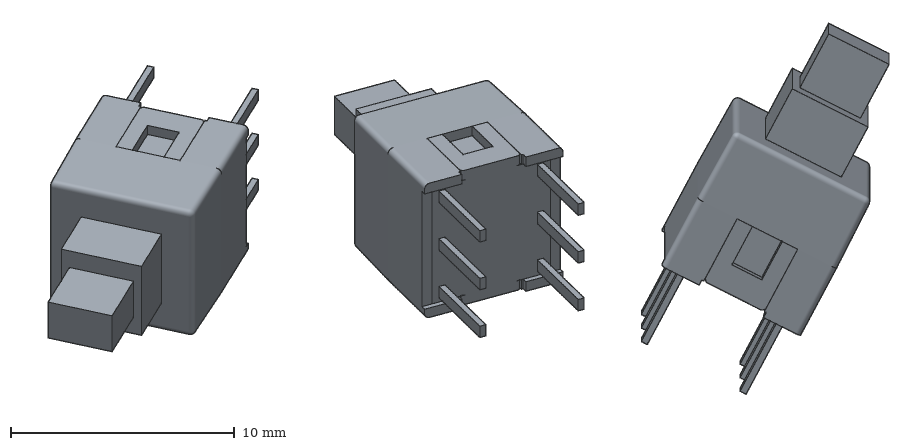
import cadquery as cq


OVERALL_LENGTH = 16.05

HOUSING_SIZE = 7.0
DRAFTED_LENGTH = HOUSING_SIZE / 2
DRAFT_ANGLE = 1.0
WALL = 0.5
EDGE_RADIUS = 0.25
FOOT_HEIGHT = 0.25
FOOT_GAP = 3.25
REAR_Y = HOUSING_SIZE - FOOT_HEIGHT
CAVITY_SIZE = HOUSING_SIZE - 2 * WALL

TONGUE_WIDTH = 3.05
TONGUE_CORNER_RADIUS = 0.21
POCKET_WIDTH = 1.51
POCKET_LENGTH = 1.99

COLLAR_SIZE = 3.82
COLLAR_LENGTH = 2.6
TIP_WIDTH = 3.05
TIP_HEIGHT = 1.99
TIP_LENGTH = 2.8

PIN_WIDTH = 0.3
PIN_HEIGHT = 0.6
PIN_PITCH = 2.49
PIN_LENGTH = OVERALL_LENGTH - TIP_LENGTH - COLLAR_LENGTH - REAR_Y
PIN_COLUMNS = (-PIN_PITCH, PIN_PITCH)
PIN_ROWS = (-PIN_PITCH, 0, PIN_PITCH)


def block(width, height, front_y, rear_y, x=0, z=0):
    """Box centred on (x, z) that runs from front_y to rear_y."""
    length = rear_y - front_y
    return cq.Workplane("XY").box(width, length, height).translate((x, front_y + length / 2, z))


def make_housing_blank():
    """Solid outer shape: straight rear half, drafted front half, rounded edges except around the rear face."""
    rear_part = block(HOUSING_SIZE, HOUSING_SIZE, DRAFTED_LENGTH, HOUSING_SIZE)
    front_part = (
        cq.Workplane("XZ", origin=(0, DRAFTED_LENGTH, 0))
        .rect(HOUSING_SIZE, HOUSING_SIZE)
        .extrude(DRAFTED_LENGTH, taper=DRAFT_ANGLE)
    )
    rear_part = rear_part.edges("|Y").fillet(EDGE_RADIUS)
    front_part = front_part.faces("not >Y").edges("not >Y").fillet(EDGE_RADIUS)
    return rear_part.union(front_part)


def make_housing():
    """Open-backed shell with a tongue slot in the top and bottom walls and a foot at each rear corner."""
    blank = make_housing_blank()
    cavity = block(CAVITY_SIZE, CAVITY_SIZE, WALL, HOUSING_SIZE)
    tongue_slots = block(TONGUE_WIDTH, HOUSING_SIZE, DRAFTED_LENGTH, HOUSING_SIZE)
    foot_gaps = block(FOOT_GAP, HOUSING_SIZE, REAR_Y, HOUSING_SIZE)
    side_trim = block(HOUSING_SIZE, CAVITY_SIZE, REAR_Y, HOUSING_SIZE)
    return blank.cut(cavity).cut(tongue_slots).cut(foot_gaps).cut(side_trim)


def make_base():
    """Core that fills the housing cavity, with a pocketed tongue in each of the two slots."""
    core = block(CAVITY_SIZE, CAVITY_SIZE, WALL, REAR_Y)
    tongues = block(TONGUE_WIDTH, HOUSING_SIZE, DRAFTED_LENGTH, REAR_Y)
    tongues = tongues.edges("|Z and >Y").fillet(TONGUE_CORNER_RADIUS)
    pockets = block(POCKET_WIDTH, HOUSING_SIZE, DRAFTED_LENGTH, DRAFTED_LENGTH + POCKET_LENGTH)
    return tongues.cut(pockets).union(core)


def make_plunger():
    """Square collar on the housing front face with a smaller rectangular tip."""
    collar = block(COLLAR_SIZE, COLLAR_SIZE, -COLLAR_LENGTH, 0)
    tip = block(TIP_WIDTH, TIP_HEIGHT, -COLLAR_LENGTH - TIP_LENGTH, -COLLAR_LENGTH)
    return collar.union(tip)


def make_pin(x, z):
    """Flat pin standing on the rear face of the base."""
    return block(PIN_WIDTH, PIN_HEIGHT, REAR_Y, REAR_Y + PIN_LENGTH, x, z)


housing = make_housing()
base = make_base()
plunger = make_plunger()
pins = [make_pin(x, z) for x in PIN_COLUMNS for z in PIN_ROWS]

result = cq.Compound.makeCompound(
    [housing.solids().val(), base.solids().val(), plunger.solids().val(), *[pin.val() for pin in pins]]
)